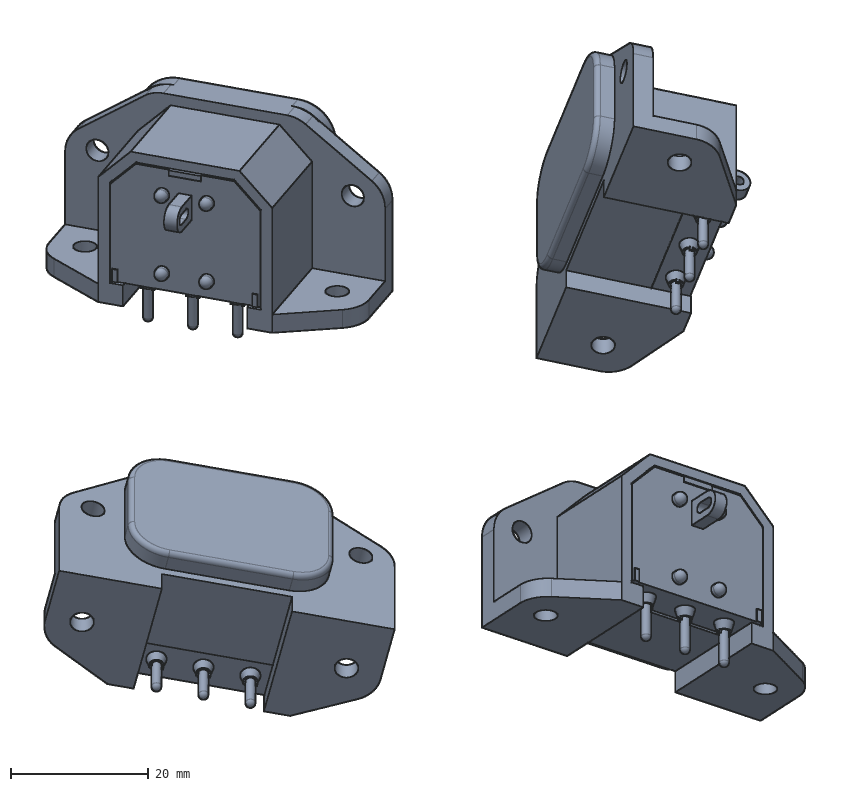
import cadquery as cq
import math


width = 50.1
height = 27.3
wall = 3.0
corner_radius = 5.0
flange_top_half = 11.25
flange_side_height = 17.55

body_half = 13.65
body_top = 25.55
body_chamfer = 5.1
body_length = 16.0
body_front = -body_length
foot_angle = 30.0
foot_corner_y = body_front + (width / 2 - body_half) * math.tan(math.radians(foot_angle))

bezel_width = 30.55
bezel_bottom = 4.8
bezel_radius = 6.0
bezel_edge_radius = 0.8

screw_diameter = 3.45
flange_screw_x = 20.0
flange_screw_z = 16.05
foot_screw_x = 19.75
foot_screw_y = -5.55

pocket_half = 11.8
pocket_bottom = 3.45
pocket_top = 23.95
pocket_chamfer = 4.15
pocket_depth = 6.0
notch_half = 9.7

side_gap = 0.1
top_gap = 0.25
bottom_gap = 0.4
insert_half = pocket_half - side_gap
insert_bottom = pocket_bottom + bottom_gap
insert_top = pocket_top - top_gap
insert_chamfer = 4.0

rivet_radius = 1.05
rivet_shank = 0.55
rivet_x = 3.5
rivet_heights = (6.7, 19.5)

lug_thickness = 2.05
lug_height = 4.0
lug_length = 5.85
lug_z = 18.15
lug_slot_length = 3.5
lug_slot_height = 1.65
lug_slot_start = 1.35

pad_rise = 0.2
top_pad_width = 5.0
top_pad_height = 0.9
side_pad_width = 0.8
side_pad_height = 2.05
side_pad_outer = 11.35

pin_pitch = 7.0
pin_radius = 0.75
pin_setback = 3.1
pin_tip_z = -3.35
collar_top_radius = 1.5
collar_end_radius = 1.05
collar_end_z = 2.4
web_end_z = 1.95
web_thickness = 0.5


def box(x_range, y_range, z_range):
    """Box between two limits on each axis."""
    (x0, x1), (y0, y1), (z0, z1) = x_range, y_range, z_range
    return cq.Workplane("XY").box(x1 - x0, y1 - y0, z1 - z0, centered=False).translate((x0, y0, z0))


def front_prism(points, y_front, length):
    """Outline of (x, z) points extruded along +Y from y_front."""
    return cq.Workplane("XZ", origin=(0, y_front, 0)).polyline(points).close().extrude(-length)


def chamfered_prism(half, bottom, top, chamfer, y_front, length):
    """Block along Y with its two upper corners cut at 45 degrees."""
    points = [
        (-half, bottom),
        (half, bottom),
        (half, top - chamfer),
        (half - chamfer, top),
        (chamfer - half, top),
        (-half, top - chamfer),
    ]
    return front_prism(points, y_front, length)


def make_flange():
    points = [
        (-width / 2, 0),
        (width / 2, 0),
        (width / 2, flange_side_height),
        (flange_top_half, height),
        (-flange_top_half, height),
        (-width / 2, flange_side_height),
    ]
    flange = front_prism(points, 0, wall)
    flange = flange.edges("|Y").edges("not <Z").fillet(corner_radius)
    screw_holes = (
        cq.Workplane("XZ")
        .pushPoints([(-flange_screw_x, flange_screw_z), (flange_screw_x, flange_screw_z)])
        .circle(screw_diameter / 2)
        .extrude(-wall)
    )
    return flange.cut(screw_holes)


def make_feet():
    """Bottom plate whose two ends stick out beside the body as mounting feet."""
    points = [
        (-width / 2, 0),
        (-width / 2, foot_corner_y),
        (-body_half, body_front),
        (body_half, body_front),
        (width / 2, foot_corner_y),
        (width / 2, 0),
    ]
    feet = cq.Workplane("XY").polyline(points).close().extrude(wall)
    feet = feet.edges("|Z").edges("not (<Y or >Y)").fillet(corner_radius)
    screw_holes = (
        cq.Workplane("XY")
        .pushPoints([(-foot_screw_x, foot_screw_y), (foot_screw_x, foot_screw_y)])
        .circle(screw_diameter / 2)
        .extrude(wall)
    )
    return feet.cut(screw_holes)


def make_bezel():
    """Rounded rim behind the flange."""
    bezel = box((-bezel_width / 2, bezel_width / 2), (wall, 2 * wall), (bezel_bottom, height))
    return bezel.edges("|Y").fillet(bezel_radius).faces(">Y").edges().fillet(bezel_edge_radius)


def make_housing():
    body = chamfered_prism(body_half, 0, body_top, body_chamfer, body_front, body_length)
    pocket = chamfered_prism(
        pocket_half, pocket_bottom, pocket_top, pocket_chamfer, body_front, pocket_depth
    )
    notch = box((-notch_half, notch_half), (body_front, wall), (0, pocket_bottom))
    housing = make_flange().union(make_feet()).union(make_bezel()).union(body)
    return housing.cut(pocket).cut(notch)


def make_rivet(x, z):
    """Domed rivet head standing on the insert face."""
    head = (
        cq.Workplane("XY")
        .lineTo(rivet_radius, 0)
        .lineTo(rivet_radius, rivet_shank)
        .radiusArc((0, rivet_shank + rivet_radius), -rivet_radius)
        .close()
        .revolve(360, (0, 0), (0, 1))
    )
    return head.rotate((0, 0, 0), (0, 0, 1), 180).translate((x, body_front, z))


def make_lug():
    """Solder lug with a round end and a slot."""
    round_radius = lug_height / 2
    round_y = body_front - lug_length + round_radius
    slot_y = body_front - lug_slot_start - lug_slot_length / 2
    plane = cq.Workplane("YZ", origin=(-lug_thickness / 2, 0, lug_z))
    lug = (
        plane.moveTo(body_front, round_radius)
        .lineTo(round_y, round_radius)
        .threePointArc((round_y - round_radius, 0), (round_y, -round_radius))
        .lineTo(body_front, -round_radius)
        .close()
        .extrude(lug_thickness)
    )
    slot = plane.center(slot_y, 0).slot2D(lug_slot_length, lug_slot_height).extrude(lug_thickness)
    return lug.cut(slot)


def make_insert():
    insert = chamfered_prism(
        insert_half, insert_bottom, insert_top, insert_chamfer, body_front, pocket_depth
    )
    for side in (-1, 1):
        for z in rivet_heights:
            insert = insert.union(make_rivet(side * rivet_x, z))
    pad_y = (body_front - pad_rise, body_front)
    top_pad_x = (-top_pad_width / 2, top_pad_width / 2)
    insert = insert.union(box(top_pad_x, pad_y, (insert_top - top_pad_height, insert_top)))
    side_pad_z = (insert_bottom, insert_bottom + side_pad_height)
    side_pad_inner = side_pad_outer - side_pad_width
    for x_range in ((-side_pad_outer, -side_pad_inner), (side_pad_inner, side_pad_outer)):
        insert = insert.union(box(x_range, pad_y, side_pad_z))
    return insert.union(make_lug())


def make_pin(x):
    """Round solder pin with a tapered collar, hanging from the insert's underside."""
    pin = (
        cq.Workplane("XZ")
        .moveTo(0, insert_bottom)
        .lineTo(collar_top_radius, insert_bottom)
        .lineTo(collar_end_radius, collar_end_z)
        .lineTo(pin_radius, collar_end_z)
        .lineTo(pin_radius, pin_tip_z + pin_radius)
        .radiusArc((0, pin_tip_z), pin_radius)
        .close()
        .revolve(360, (0, 0), (0, 1))
    )
    web = box(
        (-collar_end_radius, collar_end_radius),
        (-web_thickness / 2, web_thickness / 2),
        (web_end_z, insert_bottom),
    )
    return pin.union(web).translate((x, body_front + pin_setback, 0))


housing = make_housing()
insert = make_insert()
pins = [make_pin(place * pin_pitch) for place in (-1, 0, 1)]

result = cq.Compound.makeCompound([housing.val(), insert.val(), *[pin.val() for pin in pins]])